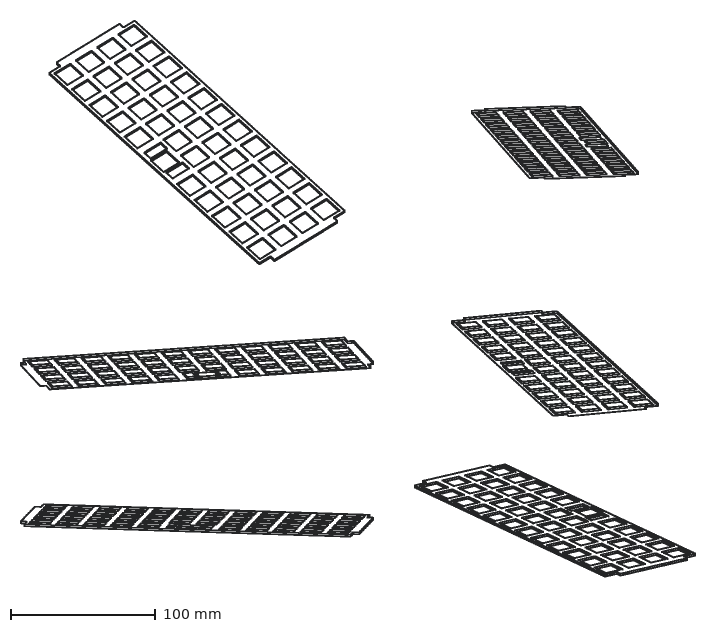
import cadquery as cq

overall_length = 237.5
plate_width = 76.5
plate_thickness = 1.51

tab_reach = 4.3
tab_setback = 10.0
body_length = overall_length - 2 * tab_reach
tab_width = plate_width - 2 * tab_setback

outline_radius = 0.4

columns = 12
rows = 4
key_pitch = 19.05
switch_size = 14.1

wide_key_columns = (columns // 2 - 1, columns // 2)
wide_key_row = 0

stabilizer_length = 7.2
stabilizer_width = 14.8
stabilizer_spacing = 23.8
stabilizer_offset = 1.4


def column_x(column):
    """X of a key column, counted from the -X end."""
    return (column - (columns - 1) / 2) * key_pitch


def row_y(row):
    """Y of a key row, counted from the -Y side."""
    return (row - (rows - 1) / 2) * key_pitch


def slab(length, width):
    """Flat rectangle of plate thickness, centred on the origin."""
    return cq.Workplane("XY").box(length, width, plate_thickness)


def windows(centres, length, width):
    """Rectangular cutters through the plate at the given centres."""
    return (
        cq.Workplane("XY")
        .pushPoints(centres)
        .rect(length, width)
        .extrude(plate_thickness, both=True)
    )


def switch_centres():
    """Centres of all switch windows, including the double-width key."""
    centres = []
    for row in range(rows):
        for column in range(columns):
            replaced_by_wide_key = row == wide_key_row and column in wide_key_columns
            if not replaced_by_wide_key:
                centres.append((column_x(column), row_y(row)))
    centres.append((0, row_y(wide_key_row)))
    return centres


def stabilizer_centres():
    """Centres of the two stabilizer windows."""
    y = row_y(wide_key_row) + stabilizer_offset
    return [(side * stabilizer_spacing / 2, y) for side in (-1, 1)]


def plate_blank():
    """Plate with end tabs; plate corners, tab roots and tab tips are rounded."""
    blank = slab(body_length, plate_width).union(slab(overall_length, tab_width))
    return blank.edges("|Z").fillet(outline_radius)


plate = plate_blank()
plate = plate.cut(windows(switch_centres(), switch_size, switch_size))
result = plate.cut(windows(stabilizer_centres(), stabilizer_length, stabilizer_width))